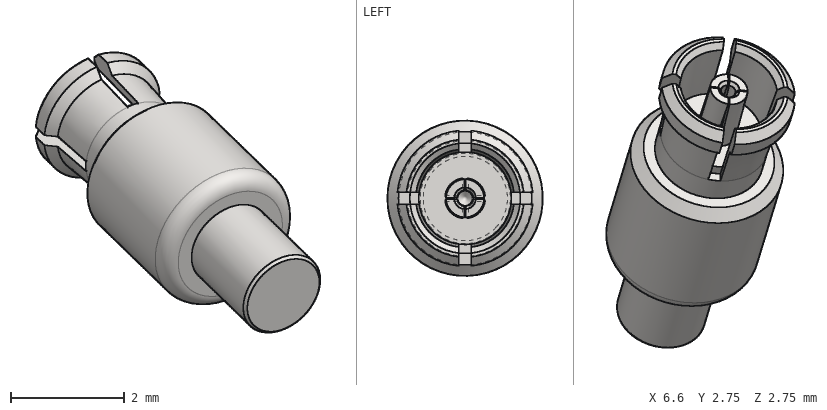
import cadquery as cq


rim_radius = 1.2
rim_face_radius = 1.04
rim_front_x = 0.15
rim_back_x = 0.45
flare_x = 0.61
flare_radius = 1.02
neck_radius = 0.98
collar_root_x = 1.49
slot_width = 0.22

mouth_radius = 0.98
socket_front_radius = 0.87
mouth_chamfer = mouth_radius - socket_front_radius
socket_root_radius = 0.82

insulator_face_x = 1.295
insulator_radius = socket_root_radius

body_front_x = 2.0
body_back_x = 4.79
body_diameter = 2.75
body_radius = body_diameter / 2
body_chamfer = 0.2
body_fillet = 0.3
tube_end_x = 6.6
tube_radius = 0.8
tube_chamfer = 0.05

contact_tip_x = 0.105
contact_tip_radius = 0.335
contact_root_radius = 0.355
bore_tip_radius = 0.13
bore_root_radius = bore_tip_radius + contact_root_radius - contact_tip_radius
bore_countersink = 0.06
bore_point_x = 1.45
contact_slot_tip_width = 0.025
contact_slot_root_width = 0.105


def revolve_about_x(profile):
    """Revolve a closed profile, drawn as X against radius, around the X axis."""
    return profile.close().revolve(360, (0, 0, 0), (1, 0, 0))


def make_shell():
    """Collar, neck, body and tube as one solid of revolution."""
    return revolve_about_x(
        cq.Workplane("XY")
        .lineTo(0, rim_face_radius)
        .lineTo(rim_front_x, rim_radius)
        .lineTo(rim_back_x, rim_radius)
        .lineTo(flare_x, flare_radius)
        .lineTo(collar_root_x, neck_radius)
        .lineTo(body_front_x, neck_radius)
        .lineTo(body_front_x, body_radius - body_chamfer)
        .lineTo(body_front_x + body_chamfer, body_radius)
        .lineTo(body_back_x - body_fillet, body_radius)
        .radiusArc((body_back_x, body_radius - body_fillet), body_fillet)
        .lineTo(body_back_x, tube_radius)
        .lineTo(tube_end_x - tube_chamfer, tube_radius)
        .lineTo(tube_end_x, tube_radius - tube_chamfer)
        .lineTo(tube_end_x, 0)
    )


def make_socket():
    """Flat-bottomed cavity with a chamfered mouth, tapering in step with the flared fingers."""
    return revolve_about_x(
        cq.Workplane("XY")
        .lineTo(0, mouth_radius)
        .lineTo(mouth_chamfer, socket_front_radius)
        .lineTo(collar_root_x, socket_root_radius)
        .lineTo(collar_root_x, 0)
    )


def make_collar_slots():
    """Crossed slots that split the collar into four spring fingers."""
    slot = cq.Workplane("XY").box(
        collar_root_x, 2 * rim_radius, slot_width, centered=(False, True, True)
    )
    return slot.union(slot.rotate((0, 0, 0), (1, 0, 0), 90))


def make_contact_slots():
    """Crossed wedge slots, narrowest at the tip of the contact."""
    slot = (
        cq.Workplane("XY")
        .moveTo(contact_tip_x, -contact_slot_tip_width / 2)
        .lineTo(insulator_face_x, -contact_slot_root_width / 2)
        .lineTo(insulator_face_x, contact_slot_root_width / 2)
        .lineTo(contact_tip_x, contact_slot_tip_width / 2)
        .close()
        .extrude(contact_root_radius, both=True)
    )
    return slot.union(slot.rotate((0, 0, 0), (1, 0, 0), 90))


def make_insulator():
    """Round insulator reaching from its exposed face to the socket bottom."""
    return (
        cq.Workplane("YZ")
        .workplane(offset=insulator_face_x)
        .circle(insulator_radius)
        .extrude(collar_root_x - insulator_face_x)
    )


def make_contact():
    """Centre contact, split into four tines back to the insulator face."""
    pin = revolve_about_x(
        cq.Workplane("XY")
        .moveTo(contact_tip_x, 0)
        .lineTo(contact_tip_x, contact_tip_radius)
        .lineTo(insulator_face_x, contact_root_radius)
        .lineTo(insulator_face_x, 0)
    )
    return pin.cut(make_contact_slots())


def make_bore():
    """Countersunk contact bore ending in a drill point inside the insulator."""
    return revolve_about_x(
        cq.Workplane("XY")
        .moveTo(contact_tip_x, 0)
        .lineTo(contact_tip_x, bore_tip_radius + bore_countersink)
        .lineTo(contact_tip_x + bore_countersink, bore_tip_radius)
        .lineTo(insulator_face_x, bore_root_radius)
        .lineTo(bore_point_x, 0)
    )


collar_and_body = make_shell().cut(make_socket()).cut(make_collar_slots())
result = collar_and_body.union(make_insulator()).union(make_contact()).cut(make_bore())